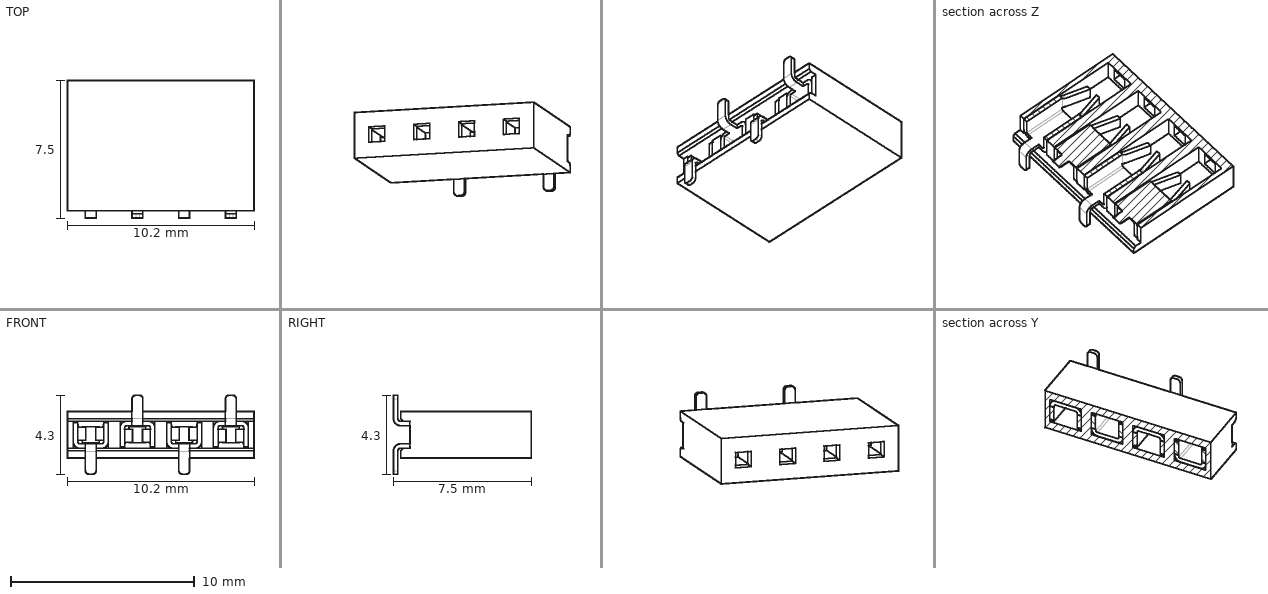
import cadquery as cq
import math

ways = 4
pitch = 2.54
housing_width = ways * pitch
housing_height = 2.54
housing_depth = 7.1

channel_half_height = 0.735
channel_depth = 0.5
lip_chamfer = 0.13

cavity_width = 1.9
mating_wall = 0.6
opening_width = 0.9
opening_height = 0.85

sheet = 0.25
base_bottom = -channel_half_height
base_top = base_bottom + sheet
arm_top = 0.645
base_inner_radius = 0.1
base_outer_radius = base_inner_radius + sheet
base_length = 2.5
base_back = channel_depth + base_length

spring_bottom = -0.312
spring_top = 0.42
spring_root_radius = arm_top - spring_top
spring_gap = 0.52
spring_angle = 15

leg_width = 0.6
leg_front = -0.4
leg_tip = -2.15
leg_tip_radius = 0.2
leg_inner_radius = 0.15
leg_outer_radius = leg_inner_radius + sheet


def box(width, y_start, y_end, z_start, z_end):
    """Block centred on X, between the given Y and Z limits."""
    return cq.Workplane("XY").box(
        width, y_end - y_start, z_end - z_start, centered=(True, False, False)
    ).translate((0, y_start, z_start))


def make_channel():
    """Full-width channel with its mouth widened by the lip chamfers."""
    mouth = channel_half_height + lip_chamfer
    return (
        cq.Workplane("YZ")
        .moveTo(0, -mouth)
        .lineTo(lip_chamfer, -channel_half_height)
        .lineTo(channel_depth, -channel_half_height)
        .lineTo(channel_depth, channel_half_height)
        .lineTo(lip_chamfer, channel_half_height)
        .lineTo(0, mouth)
        .close()
        .extrude(housing_width / 2, both=True)
    )


def make_housing(way_centres):
    cavity = box(
        cavity_width, channel_depth, housing_depth - mating_wall,
        -channel_half_height, channel_half_height,
    )
    opening = box(
        opening_width, channel_depth, housing_depth,
        -opening_height / 2, opening_height / 2,
    )
    body = box(housing_width, 0, housing_depth, -housing_height / 2, housing_height / 2)
    body = body.cut(make_channel())
    for x in way_centres:
        body = body.cut(cavity.translate((x, 0, 0)))
        body = body.cut(opening.translate((x, 0, 0)))
    return body


def make_base():
    """U-section base with rounded bends along Y."""
    outer = box(cavity_width, channel_depth, base_back, base_bottom, arm_top)
    outer = outer.edges("|Y and <Z").fillet(base_outer_radius)
    inner = box(cavity_width - 2 * sheet, channel_depth, base_back, base_top, arm_top)
    inner = inner.edges("|Y and <Z").fillet(base_inner_radius)
    return outer.cut(inner)


def make_spring():
    """Spring on the +X arm: a sheet slanting inwards, filleted where it leaves the arm."""
    arm_inside = cavity_width / 2 - sheet
    reach = arm_inside - spring_gap / 2
    length = reach / math.tan(math.radians(spring_angle))
    slant = (
        cq.Workplane("XY")
        .workplane(offset=spring_bottom)
        .moveTo(arm_inside, base_back)
        .lineTo(arm_inside - reach, base_back + length)
        .lineTo(arm_inside - reach + sheet, base_back + length)
        .lineTo(arm_inside + sheet, base_back)
        .close()
        .extrude(arm_top - spring_bottom)
    )
    root_end = base_back + spring_root_radius
    above_spring = (
        cq.Workplane("YZ")
        .moveTo(base_back, arm_top)
        .radiusArc((root_end, spring_top), -spring_root_radius)
        .lineTo(base_back + length, spring_top)
        .lineTo(base_back + length, arm_top)
        .close()
        .extrude(cavity_width / 2)
    )
    return slant.cut(above_spring)


def make_leg():
    """L-shaped solder leg with a rounded bend and rounded tip corners."""
    leg_back = leg_front + sheet
    bend_y = leg_front + leg_outer_radius
    bend_z = base_top - leg_outer_radius
    leg = (
        cq.Workplane("YZ")
        .moveTo(channel_depth, base_top)
        .lineTo(bend_y, base_top)
        .radiusArc((leg_front, bend_z), -leg_outer_radius)
        .lineTo(leg_front, leg_tip)
        .lineTo(leg_back, leg_tip)
        .lineTo(leg_back, bend_z)
        .radiusArc((bend_y, base_bottom), leg_inner_radius)
        .lineTo(channel_depth, base_bottom)
        .close()
        .extrude(leg_width / 2, both=True)
    )
    return leg.edges("|Y and <Z").fillet(leg_tip_radius)


def make_contact():
    spring = make_spring()
    return make_base().union(spring).union(spring.mirror("YZ")).union(make_leg())


way_centres = [(way - (ways - 1) / 2) * pitch for way in range(ways)]

housing = make_housing(way_centres)

contact = make_contact()
contacts = cq.Workplane("XY")
for way, x in enumerate(way_centres):
    turned = contact.rotate((0, 0, 0), (0, 1, 0), 180 * (way % 2))
    contacts = contacts.add(turned.translate((x, 0, 0)))

result = cq.Compound.makeCompound([housing.val(), *contacts.vals()])